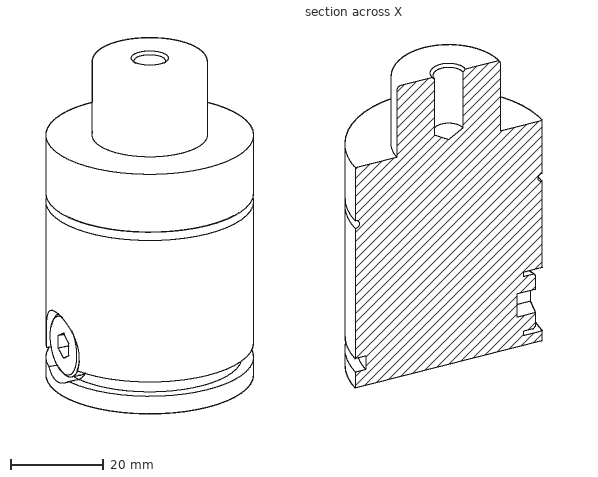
import cadquery as cq
import math

TOTAL_HEIGHT = 74.0
BODY_RADIUS = 45.0 / 2
BODY_HEIGHT = 56.0
ROD_RADIUS = 25.0 / 2
ROD_EDGE_RADIUS = 0.95

RING_GROOVE_RADIUS = 0.95
RING_GROOVE_Z = 41.5

FLANGE_HEIGHT = 4.15
CLAMP_GROOVE_TOP = 7.5
CLAMP_GROOVE_FLOOR_RADIUS = 20.0

HOLE_DIAMETER = 6.8
HOLE_MOUTH_DIAMETER = 8.1
HOLE_DEPTH = 14.8
DRILL_POINT_ANGLE = 118.0

PORT_Z = 10.6
PORT_DIAMETER = 16.0
PORT_FLOOR_Y = -18.0
PLUG_DIAMETER = 14.0
PLUG_FACE_Y = -20.9
PLUG_CHAMFER = 0.5
SOCKET_ACROSS_FLATS = 5.0
SOCKET_DEPTH = 4.45


def port_plane(y):
    """Plane facing -Y, centred on the port axis at the given Y."""
    return cq.Workplane("XZ", origin=(0, y, PORT_Z))


def make_body():
    """Revolve the stepped body, with both grooves and the rounded rod end."""
    rounding_mid = ROD_EDGE_RADIUS * (1 - math.sqrt(0.5))
    profile = (
        cq.Workplane("XZ")
        .lineTo(BODY_RADIUS, 0)
        .lineTo(BODY_RADIUS, FLANGE_HEIGHT)
        .lineTo(CLAMP_GROOVE_FLOOR_RADIUS, FLANGE_HEIGHT)
        .lineTo(CLAMP_GROOVE_FLOOR_RADIUS, CLAMP_GROOVE_TOP)
        .lineTo(BODY_RADIUS, CLAMP_GROOVE_TOP)
        .lineTo(BODY_RADIUS, RING_GROOVE_Z - RING_GROOVE_RADIUS)
        .threePointArc(
            (BODY_RADIUS - RING_GROOVE_RADIUS, RING_GROOVE_Z),
            (BODY_RADIUS, RING_GROOVE_Z + RING_GROOVE_RADIUS),
        )
        .lineTo(BODY_RADIUS, BODY_HEIGHT)
        .lineTo(ROD_RADIUS, BODY_HEIGHT)
        .lineTo(ROD_RADIUS, TOTAL_HEIGHT - ROD_EDGE_RADIUS)
        .threePointArc(
            (ROD_RADIUS - rounding_mid, TOTAL_HEIGHT - rounding_mid),
            (ROD_RADIUS - ROD_EDGE_RADIUS, TOTAL_HEIGHT),
        )
        .lineTo(0, TOTAL_HEIGHT)
        .close()
    )
    return profile.revolve(360, (0, 0, 0), (0, 1, 0))


def make_rod_hole():
    """Blind drilled hole with a 45 degree mouth and a conical bottom."""
    radius = HOLE_DIAMETER / 2
    mouth_radius = HOLE_MOUTH_DIAMETER / 2
    mouth_depth = mouth_radius - radius
    floor_z = TOTAL_HEIGHT - HOLE_DEPTH
    tip_z = floor_z - radius / math.tan(math.radians(DRILL_POINT_ANGLE / 2))
    profile = (
        cq.Workplane("XZ")
        .moveTo(0, tip_z)
        .lineTo(radius, floor_z)
        .lineTo(radius, TOTAL_HEIGHT - mouth_depth)
        .lineTo(mouth_radius, TOTAL_HEIGHT)
        .lineTo(0, TOTAL_HEIGHT)
        .close()
    )
    return profile.revolve(360, (0, 0, 0), (0, 1, 0))


def make_port():
    """Round pocket running from its flat floor out through the body side."""
    return port_plane(PORT_FLOOR_Y).circle(PORT_DIAMETER / 2).extrude(BODY_RADIUS + PORT_FLOOR_Y)


def make_plug():
    """Chamfered plug with a hexagon socket, two socket corners along Z."""
    plug = (
        port_plane(PORT_FLOOR_Y)
        .circle(PLUG_DIAMETER / 2)
        .extrude(PORT_FLOOR_Y - PLUG_FACE_Y)
        .faces("<Y")
        .chamfer(PLUG_CHAMFER)
    )
    return plug


def make_socket():
    """Hexagonal recess sunk into the plug face."""
    across_corners = SOCKET_ACROSS_FLATS / math.cos(math.radians(30))
    hexagon = port_plane(PLUG_FACE_Y).transformed(rotate=(0, 0, 90)).polygon(6, across_corners)
    return hexagon.extrude(-SOCKET_DEPTH)


result = make_body().cut(make_rod_hole()).cut(make_port()).union(make_plug()).cut(make_socket())